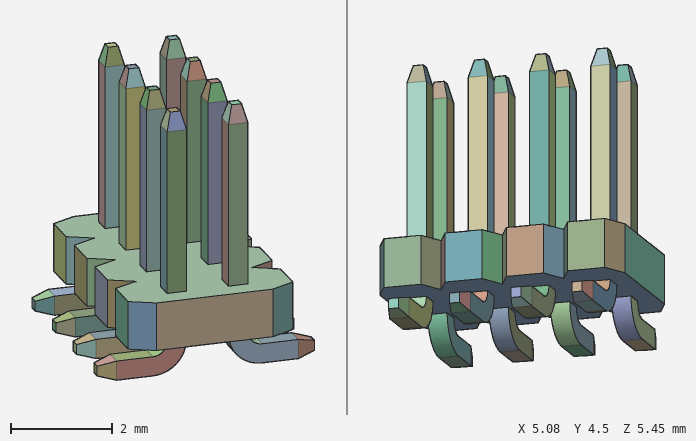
import cadquery as cq
import math


columns = 4
pitch = 1.27

body_depth = 3.41
body_height = 1.0
corner_cut_x = 0.25
corner_cut_y = 2 * corner_cut_x

overall_height = 5.45
foot_span = 4.5
pin_width = 0.405
tip_width = 0.205
tip_length = 0.37
tip_taper = math.degrees(math.atan((pin_width - tip_width) / 2 / tip_length))

bend_outer_radius = 0.7
bend_inner_radius = bend_outer_radius - pin_width
body_bottom = bend_outer_radius


def column_x(column):
    """X of a column centre, with the columns centred on X = 0."""
    return (column - (columns - 1) / 2) * pitch


def make_body_cell(x):
    """One column's octagonal slice of the body; adjacent slices leave V notches between them."""
    half_width = pitch / 2
    half_depth = body_depth / 2
    flat_x = half_width - corner_cut_x
    flat_y = half_depth - corner_cut_y
    outline = [
        (-half_width, -flat_y),
        (-flat_x, -half_depth),
        (flat_x, -half_depth),
        (half_width, -flat_y),
        (half_width, flat_y),
        (flat_x, half_depth),
        (-flat_x, half_depth),
        (-half_width, flat_y),
    ]
    cell = cq.Workplane("XY").polyline(outline).close().extrude(body_height)
    return cell.translate((x, 0, body_bottom))


def add_tip(pin, end_face):
    """Extend the selected square end of a pin with a blunt tapered tip."""
    return pin.faces(end_face).wires().toPending().workplane().extrude(tip_length, taper=tip_taper)


def make_pin():
    """Bent pin of the +Y row at X = 0: upright post, quarter bend, outward foot, two tips."""
    post_inner_y = (pitch - pin_width) / 2
    post_outer_y = post_inner_y + pin_width
    post_top = overall_height - tip_length
    bend_end_y = post_inner_y + bend_outer_radius
    foot_end_y = foot_span / 2 - tip_length

    pin = (
        cq.Workplane("YZ", origin=(-pin_width / 2, 0, 0))
        .moveTo(post_inner_y, post_top)
        .lineTo(post_inner_y, body_bottom)
        .tangentArcPoint((bend_end_y, 0), relative=False)
        .lineTo(foot_end_y, 0)
        .lineTo(foot_end_y, pin_width)
        .lineTo(bend_end_y, pin_width)
        .tangentArcPoint((post_outer_y, pin_width + bend_inner_radius), relative=False)
        .lineTo(post_outer_y, post_top)
        .close()
        .extrude(pin_width)
    )
    pin = add_tip(pin, ">Z")
    return add_tip(pin, ">Y")


result = make_body_cell(column_x(0))
for column in range(1, columns):
    result = result.union(make_body_cell(column_x(column)))
result = result.clean()

back_pin = make_pin()
front_pin = back_pin.mirror("XZ")
for column in range(columns):
    offset = (column_x(column), 0, 0)
    result = result.union(back_pin.translate(offset))
    result = result.union(front_pin.translate(offset))